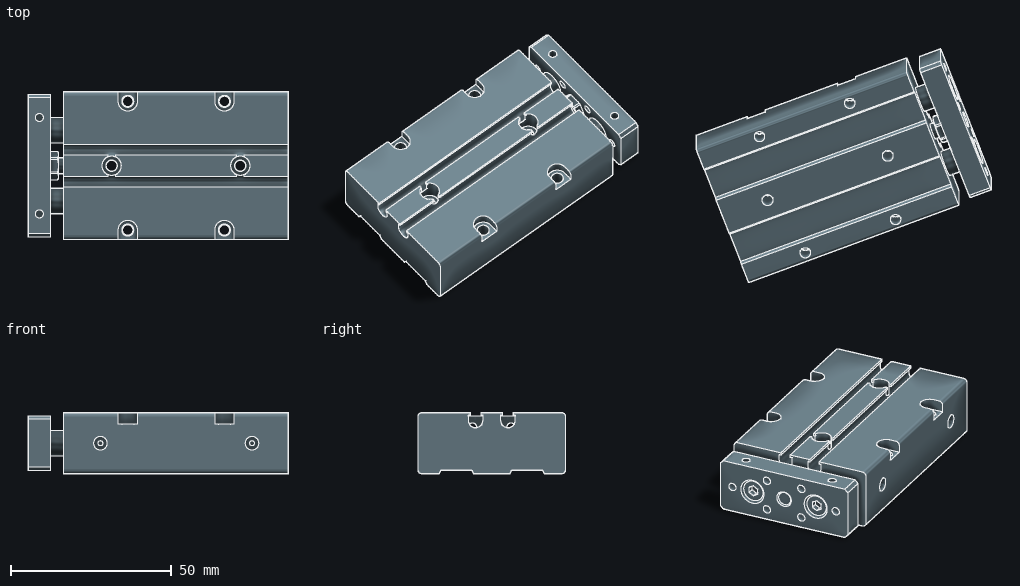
import cadquery as cq
import math

total_length = 81.0

housing_front = 11.0
housing_length = total_length - housing_front
housing_width = 46.0
housing_height = 19.0
housing_top = housing_height / 2
top_edge_radius = 1.3
bottom_edge_radius = 1.3

slot_spacing = 10.05
slot_neck_width = 3.2
slot_channel_width = 4.45
slot_lip = 0.8
slot_depth = 4.7

underside_recess_width = 10.7
underside_recess_depth = 1.2
underside_wall_run = 0.65

counterbore_diameter = 6.0
counterbore_depth = 3.6
middle_counterbore_depth = 7.0
corner_hole_x = (31.0, 61.1)
corner_hole_spacing = 40.0
corner_hole_diameter = 3.7
corner_hole_lower_diameter = 3.2
middle_hole_x = (26.0, 66.0)
middle_hole_diameter = 3.4
lip_gap_width = 2.3

port_x = (22.5, 69.7)
port_diameter = 4.2
port_depth = 5.0
port_passage_diameter = 1.5
port_passage_depth = 2.0

plate_thickness = 7.05
plate_width = 44.4
plate_height = 17.0
plate_edge_chamfer = 1.05
plate_hole_diameter = 2.5
face_hole_spacing_y = 12.0
face_hole_spacing_z = 10.05
side_hole_spacing = 36.0
top_hole_spacing = 30.0
top_hole_depth = 5.0

rod_spacing = 22.0
rod_diameter = 8.0
rod_countersink_depth = 0.65
socket_across_flats = 3.0
socket_depth = 2.0

piston_diameter = 5.0
piston_countersink_depth = 0.4
nut_across_flats = 8.0
nut_across_trimmed_corners = 8.9
nut_thickness = 2.4
nut_bevel_angle = 30.0

hexagon_half_step = 30.0


def both_sides(spacing):
    """The two places half a spacing either side of the middle."""
    return (-spacing / 2, spacing / 2)


def x_cylinder(diameter, x_start, length, y=0.0, z=0.0):
    return cq.Workplane("YZ", origin=(x_start, y, z)).circle(diameter / 2).extrude(length)


def z_hole(diameter, x, y, z_top, depth):
    return cq.Workplane("XY", origin=(x, y, z_top)).circle(diameter / 2).extrude(-depth)


def x_hexagon(across_flats, x_start, length, y=0.0, turn=0.0):
    """A hexagonal prism along X; with no turn, two corners point along Y."""
    prism = (
        cq.Workplane("YZ", origin=(x_start, y, 0))
        .polygon(6, across_flats / math.cos(math.radians(hexagon_half_step)))
        .extrude(length)
    )
    return prism.rotate((x_start, y, 0), (x_start + 0.8, y, 0), turn)


def housing_blank():
    block = cq.Workplane("XY").box(
        housing_length, housing_width, housing_height, centered=(False, True, True)
    )
    block = block.translate((housing_front, 0, 0))
    block = block.edges("|X and >Z").fillet(top_edge_radius)
    return block.edges("|X and <Z").fillet(bottom_edge_radius)


def sensor_slot(y):
    """A narrow neck under the top face that opens into a wider round-bottomed channel."""
    neck = slot_neck_width / 2
    radius = slot_channel_width / 2
    lip_z = housing_top - slot_lip
    bottom_z = housing_top - slot_depth
    return (
        cq.Workplane("YZ", origin=(housing_front, y, 0))
        .moveTo(-neck, housing_top)
        .lineTo(-neck, lip_z)
        .lineTo(-radius, lip_z)
        .lineTo(-radius, bottom_z + radius)
        .threePointArc((0, bottom_z), (radius, bottom_z + radius))
        .lineTo(radius, lip_z)
        .lineTo(neck, lip_z)
        .lineTo(neck, housing_top)
        .close()
        .extrude(housing_length)
    )


def underside_recess(y):
    half_mouth = underside_recess_width / 2
    half_floor = half_mouth - underside_wall_run
    outline = [
        (-half_mouth, 0),
        (-half_floor, underside_recess_depth),
        (half_floor, underside_recess_depth),
        (half_mouth, 0),
    ]
    recess = cq.Workplane("YZ", origin=(housing_front, y, -housing_top))
    return recess.polyline(outline).close().extrude(housing_length)


def corner_hole(x, y):
    """A counterbored hole whose counterbore runs out through the nearest side face."""
    run_out = housing_width / 2 - abs(y)
    run_out_middle = y + math.copysign(run_out / 2, y)
    counterbore = z_hole(counterbore_diameter, x, y, housing_top, counterbore_depth)
    opening = (
        cq.Workplane("XY", origin=(x, run_out_middle, housing_top))
        .rect(counterbore_diameter, run_out)
        .extrude(-counterbore_depth)
    )
    upper = z_hole(corner_hole_diameter, x, y, housing_top, housing_height / 2)
    lower = z_hole(corner_hole_lower_diameter, x, y, housing_top, housing_height)
    return counterbore.union(opening).union(upper).union(lower)


def middle_hole(x):
    """A counterbored hole in the middle rib, with a gap through the slot lips beside it."""
    counterbore = z_hole(counterbore_diameter, x, 0, housing_top, middle_counterbore_depth)
    lip_gap = (
        cq.Workplane("XY", origin=(x, 0, housing_top))
        .rect(lip_gap_width, slot_spacing)
        .extrude(-slot_lip)
    )
    through = z_hole(middle_hole_diameter, x, 0, housing_top, housing_height)
    return counterbore.union(lip_gap).union(through)


def air_port(x):
    face = cq.Workplane("XZ", origin=(x, -housing_width / 2, 0))
    port = face.circle(port_diameter / 2).extrude(-port_depth)
    passage = face.circle(port_passage_diameter / 2).extrude(-port_depth - port_passage_depth)
    return port.union(passage)


def make_housing():
    body = housing_blank()
    for y in both_sides(slot_spacing):
        body = body.cut(sensor_slot(y))
    for y in both_sides(rod_spacing):
        body = body.cut(underside_recess(y))
    for x in corner_hole_x:
        for y in both_sides(corner_hole_spacing):
            body = body.cut(corner_hole(x, y))
    for x in middle_hole_x:
        body = body.cut(middle_hole(x))
    for x in port_x:
        body = body.cut(air_port(x))
    return body


def lock_nut():
    """A hexagon nut with trimmed corners and a bevel around its housing-side face."""
    hexagon = x_hexagon(nut_across_flats, plate_thickness, nut_thickness)
    trim = x_hexagon(nut_across_trimmed_corners, plate_thickness, nut_thickness, turn=hexagon_half_step)
    face_radius = nut_across_flats / 2
    bevel_run = nut_across_trimmed_corners - nut_across_flats
    bevel_length = bevel_run * math.tan(math.radians(nut_bevel_angle))
    nut_end = plate_thickness + nut_thickness
    bevelled_round = (
        cq.Workplane("XY")
        .polyline([
            (plate_thickness, 0),
            (plate_thickness, face_radius + bevel_run),
            (nut_end - bevel_length, face_radius + bevel_run),
            (nut_end, face_radius),
            (nut_end, 0),
        ])
        .close()
        .revolve(axisStart=(0, 0, 0), axisEnd=(1, 0, 0))
    )
    return hexagon.intersect(trim).intersect(bevelled_round)


def countersink(diameter, depth, y=0.0):
    """A 45 degree conical recess in the plate's front face."""
    cone = cq.Solid.makeCone(
        diameter / 2, diameter / 2 - depth, depth, cq.Vector(0, y, 0), cq.Vector(1, 0, 0)
    )
    return cq.Workplane(cone)


def plate_blank():
    plate = cq.Workplane("XY").box(
        plate_thickness, plate_width, plate_height, centered=(False, True, True)
    )
    return plate.edges("|X").chamfer(plate_edge_chamfer)


def plate_holes():
    """The small tapped holes through the plate and down from its top edge."""
    face_places = [(y, 0) for y in both_sides(side_hole_spacing)]
    for y in both_sides(face_hole_spacing_y):
        for z in both_sides(face_hole_spacing_z):
            face_places.append((y, z))
    holes = [x_cylinder(plate_hole_diameter, 0, plate_thickness, y, z) for y, z in face_places]
    for y in both_sides(top_hole_spacing):
        top_hole = z_hole(
            plate_hole_diameter, plate_thickness / 2, y, plate_height / 2, top_hole_depth
        )
        holes.append(top_hole)
    return holes


def make_tool_plate():
    """The plate with its guide rods, piston rod and lock nut, which move as one."""
    rod_length = housing_front - plate_thickness
    socket_floor = rod_countersink_depth + socket_depth
    body = plate_blank()
    for hole in plate_holes():
        body = body.cut(hole)
    body = body.union(lock_nut())
    body = body.union(x_cylinder(piston_diameter, plate_thickness, rod_length))
    body = body.cut(countersink(piston_diameter, piston_countersink_depth))
    for y in both_sides(rod_spacing):
        socket = x_hexagon(socket_across_flats, 0, socket_floor, y, turn=hexagon_half_step)
        body = body.union(x_cylinder(rod_diameter, plate_thickness, rod_length, y))
        body = body.cut(countersink(rod_diameter, rod_countersink_depth, y))
        body = body.cut(socket)
    return body


housing = make_housing()
tool_plate = make_tool_plate()

result = cq.Compound.makeCompound([housing.val(), tool_plate.val()])